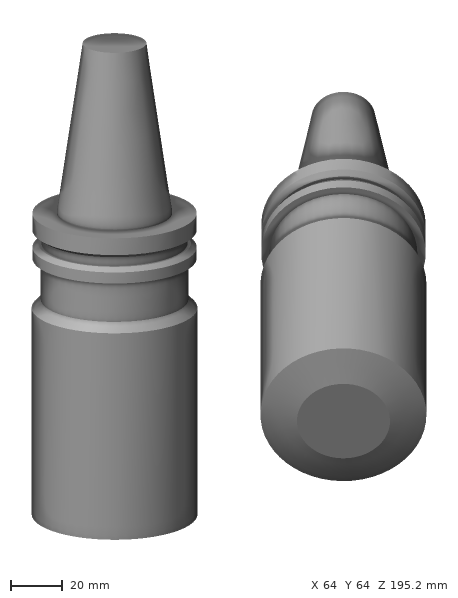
import cadquery as cq

total_height = 195.2

taper_ratio = 7 / 24
gauge_diameter = 44.5
taper_length = 68.3
gauge_z = total_height - taper_length
tip_diameter = gauge_diameter - taper_length * taper_ratio

flange_diameter = 63.5
flange_top_z = 126.3
flange_height = 18.4
flange_bottom_z = flange_top_z - flange_height
groove_diameter = 56.5
groove_floor_width = 4.0
groove_floor_center_z = 116.0
groove_flank_height = 1.5
groove_flank_diameter = 59.0
groove_wall_top_z = groove_floor_center_z + groove_floor_width / 2
groove_wall_bottom_z = groove_floor_center_z - groove_floor_width / 2

neck_diameter = 57.0
body_diameter = 64.0
shoulder_height = 3.5
shoulder_z = 87.9
nose_height = 4.1
nose_diameter = 36.0

section = [
    (nose_diameter, 0),
    (body_diameter, nose_height),
    (body_diameter, shoulder_z),
    (neck_diameter, shoulder_z + shoulder_height),
    (neck_diameter, flange_bottom_z),
    (flange_diameter, flange_bottom_z),
    (flange_diameter, groove_wall_bottom_z - groove_flank_height),
    (groove_flank_diameter, groove_wall_bottom_z),
    (groove_diameter, groove_wall_bottom_z),
    (groove_diameter, groove_wall_top_z),
    (groove_flank_diameter, groove_wall_top_z),
    (flange_diameter, groove_wall_top_z + groove_flank_height),
    (flange_diameter, flange_top_z),
    (gauge_diameter, flange_top_z),
    (gauge_diameter, gauge_z),
    (tip_diameter, total_height),
]

outline = [(0, 0)] + [(diameter / 2, z) for diameter, z in section] + [(0, total_height)]
result = cq.Workplane("XZ").polyline(outline).close().revolve(360, (0, 0), (0, 1))